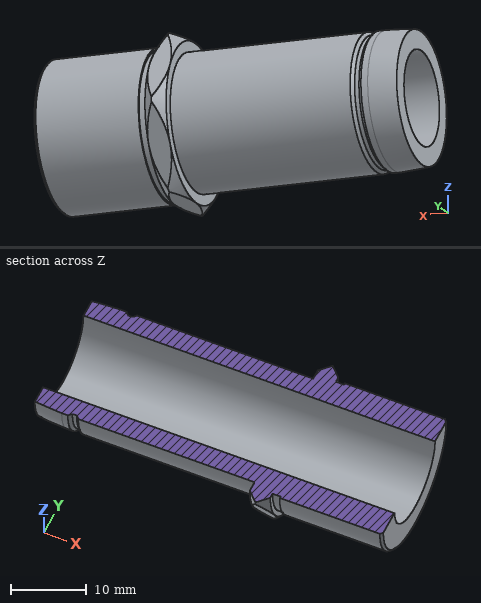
import cadquery as cq
import math

total_length = 51.0
bore_radius = 6.5

barrel_radius = 9.5
nose_radius = 9.2
nose_length = 4.05
groove_start = 4.95
groove_end = 6.5
groove_depth = 0.45

hex_start = 32.0
hex_width = 3.0
across_flats = 22.0
hex_end = hex_start + hex_width
hex_middle = hex_start + hex_width / 2
across_corners = across_flats / math.cos(math.radians(30))
hex_face_radius = across_flats / 2
hex_ridge_radius = hex_face_radius + hex_width / 2

neck_radius = 10.25
head_radius = 10.5
head_start = 36.1
head_chamfer = 0.35


def revolve_about_x(outline):
    """Turn a closed XZ outline into a full solid of revolution about X."""
    return outline.close().revolve(360, (0, 0, 0), (1, 0, 0))


def make_body():
    """Barrel, neck and head as one turned solid."""
    groove_radius = barrel_radius - groove_depth
    outline = (
        cq.Workplane("XZ")
        .moveTo(nose_length, 0)
        .lineTo(total_length, 0)
        .lineTo(total_length, head_radius - head_chamfer)
        .lineTo(total_length - head_chamfer, head_radius)
        .lineTo(head_start, head_radius)
        .lineTo(head_start, neck_radius)
        .lineTo(hex_middle, neck_radius)
        .lineTo(hex_middle, barrel_radius)
        .lineTo(groove_end, barrel_radius)
        .lineTo(groove_end - groove_depth, groove_radius)
        .lineTo(groove_start + groove_depth, groove_radius)
        .lineTo(groove_start, barrel_radius)
        .lineTo(nose_length, barrel_radius)
        .tangentArcPoint((0, nose_radius), relative=False)
        .lineTo(0, 0)
    )
    return revolve_about_x(outline)


def make_hex_flange():
    """Hexagon with corners on Y, its corners turned down by two cones."""
    hexagon = (
        cq.Workplane("YZ", origin=(hex_start, 0, 0))
        .polygon(6, across_corners)
        .extrude(hex_width)
    )
    double_cone = revolve_about_x(
        cq.Workplane("XZ")
        .moveTo(hex_start, 0)
        .lineTo(hex_start, hex_face_radius)
        .lineTo(hex_middle, hex_ridge_radius)
        .lineTo(hex_end, hex_face_radius)
        .lineTo(hex_end, 0)
    )
    return hexagon.intersect(double_cone)


def make_bore():
    """Plain bore through the whole length."""
    return cq.Workplane("YZ").circle(bore_radius).extrude(total_length)


result = make_body().union(make_hex_flange()).cut(make_bore())